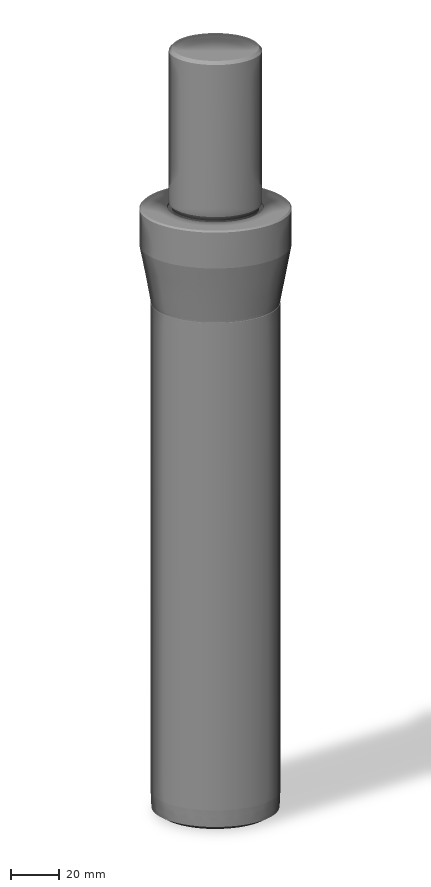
import cadquery as cq

total_height = 332.7

rod_diameter = 38.5
rod_top_chamfer = 1.3
rod_relief_depth = 1.3
rod_relief_rise = 2.0

collar_diameter = 63.0
collar_top = 263.2
collar_chamfer = 0.5
collar_bottom = 247.0
seat_diameter = 40.0
seat_depth = 1.0
tube_diameter = 53.5
neck_bottom = 222.5
groove_height = 1.0
groove_depth = 0.3
foot_taper_height = 9.3
foot_taper_depth = 0.3
foot_chamfer_height = 2.0
foot_chamfer_width = 3.3

rod_radius = rod_diameter / 2
rod_relief_radius = rod_radius - rod_relief_depth
collar_radius = collar_diameter / 2
tube_radius = tube_diameter / 2
groove_radius = tube_radius - groove_depth
foot_radius = tube_radius - foot_taper_depth


def make_rod():
    """Round rod, chamfered on top, tapering at its lower end into the seat in the collar."""
    seat_floor = collar_top - seat_depth
    return (
        cq.Workplane("XZ")
        .moveTo(0, seat_floor)
        .lineTo(rod_relief_radius, seat_floor)
        .lineTo(rod_relief_radius, collar_top)
        .lineTo(rod_radius, collar_top + rod_relief_rise)
        .lineTo(rod_radius, total_height - rod_top_chamfer)
        .lineTo(rod_radius - rod_top_chamfer, total_height)
        .lineTo(0, total_height)
        .close()
        .revolve(360, (0, 0), (0, 1))
    )


def make_housing():
    """Turned tube with a tapered foot, a grooved flared neck and a collar with a rod seat."""
    groove_bottom = neck_bottom - groove_height
    body = (
        cq.Workplane("XZ")
        .moveTo(0, 0)
        .lineTo(foot_radius - foot_chamfer_width, 0)
        .lineTo(foot_radius, foot_chamfer_height)
        .lineTo(tube_radius, foot_taper_height)
        .lineTo(tube_radius, groove_bottom)
        .lineTo(groove_radius, groove_bottom)
        .lineTo(groove_radius, neck_bottom)
        .lineTo(tube_radius, neck_bottom)
        .lineTo(collar_radius, collar_bottom)
        .lineTo(collar_radius, collar_top - collar_chamfer)
        .lineTo(collar_radius - collar_chamfer, collar_top)
        .lineTo(0, collar_top)
        .close()
        .revolve(360, (0, 0), (0, 1))
    )
    return body.faces(">Z").workplane().circle(seat_diameter / 2).cutBlind(-seat_depth)


rod = make_rod()
housing = make_housing()

result = cq.Compound.makeCompound([housing.val(), rod.val()])